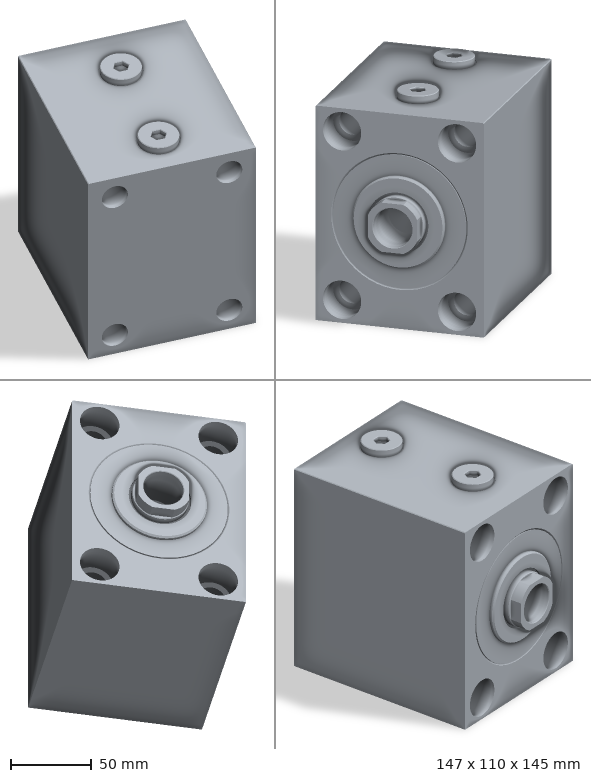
import cadquery as cq
import math


overall_length = 147.0
rod_reach = 14.0
housing_length = overall_length - rod_reach
housing_width = 110.0
housing_height = 140.0
top_edge_chamfer = 0.5

mount_hole_diameter = 17.0
mount_counterbore_diameter = 25.0
mount_counterbore_depth = 20.0
mount_spacing_y = 75.0
mount_spacing_z = 110.0

gland_diameter = 87.0
gland_depth = 30.0
bore_mouth_chamfer = 1.0
boss_diameter = 60.0
boss_height = 3.0
boss_chamfer = 1.0

wiper_recess_diameter = 39.5
wiper_recess_depth = 1.5

rod_diameter = 36.0
rod_shoulder_chamfer = 0.51
rod_end_diameter = rod_diameter - 2 * rod_shoulder_chamfer
rod_end_length = 8.0
rod_across_flats = 32.0
rod_bore_diameter = 25.5
rod_bore_chamfer = 0.5
rod_bore_depth = 30.0
drill_point_angle = 118.0

plug_diameter = 26.0
plug_height = 5.0
plug_chamfer = 0.5
plug_positions_x = (36.0, 107.0)
hex_across_flats = 8.8
hex_chamfer = 0.5
hex_depth = 3.5
spotface_diameter = 28.1
spotface_depth = 0.3

chamfer_angle = 45.0
housing_top = housing_height / 2
spotface_floor = housing_top - spotface_depth


def rod_axis_cylinder(diameter, x_start, length, taper=0):
    """Cylinder on the rod axis, running in +X from x_start and narrowing by the taper angle."""
    return cq.Workplane("YZ", origin=(x_start, 0, 0)).circle(diameter / 2).extrude(length, taper=taper)


def plug_cylinder(diameter, x, z_start, height):
    """Vertical cylinder on the middle line of the top face."""
    return cq.Workplane("XY", origin=(x, 0, z_start)).circle(diameter / 2).extrude(height)


def mount_hole_pattern(diameter, depth):
    """Four cylinders at the mounting hole positions, running back from the front face."""
    return (
        cq.Workplane("YZ")
        .rect(mount_spacing_y, mount_spacing_z, forConstruction=True)
        .vertices()
        .circle(diameter / 2)
        .extrude(depth)
    )


def make_housing():
    block = cq.Workplane("XY").box(housing_length, housing_width, housing_height)
    block = block.translate((housing_length / 2, 0, 0))
    block = block.edges("|X and >Z").chamfer(top_edge_chamfer)

    block = block.cut(mount_hole_pattern(mount_hole_diameter, housing_length))
    block = block.cut(mount_hole_pattern(mount_counterbore_diameter, mount_counterbore_depth))

    gland_bore = rod_axis_cylinder(gland_diameter, 0, gland_depth)
    bore_mouth_diameter = gland_diameter + 2 * bore_mouth_chamfer
    bore_mouth = rod_axis_cylinder(bore_mouth_diameter, 0, bore_mouth_chamfer, taper=chamfer_angle)
    block = block.cut(gland_bore).cut(bore_mouth)

    for x in plug_positions_x:
        block = block.cut(plug_cylinder(spotface_diameter, x, spotface_floor, spotface_depth))
    return block


def make_gland():
    insert = rod_axis_cylinder(gland_diameter, 0, gland_depth)
    boss = rod_axis_cylinder(boss_diameter, -boss_height, boss_height)
    boss = boss.faces("<X").chamfer(boss_chamfer)
    rod_hole = rod_axis_cylinder(rod_diameter, -boss_height, boss_height + gland_depth)
    wiper_recess = rod_axis_cylinder(wiper_recess_diameter, -boss_height, wiper_recess_depth)
    return insert.union(boss).cut(rod_hole).cut(wiper_recess)


def make_rod():
    shoulder_x = rod_end_length - rod_reach
    body = rod_axis_cylinder(rod_diameter, shoulder_x, gland_depth - shoulder_x)
    body = body.faces("<X").chamfer(rod_shoulder_chamfer)

    square = cq.Workplane("YZ", origin=(-rod_reach, 0, 0)).rect(rod_across_flats, rod_across_flats)
    rod_end = rod_axis_cylinder(rod_end_diameter, -rod_reach, rod_end_length)
    rod_end = rod_end.intersect(square.extrude(rod_end_length))

    bore_radius = rod_bore_diameter / 2
    bore_end = rod_bore_depth - rod_reach
    drill_point = bore_end + bore_radius / math.tan(math.radians(drill_point_angle / 2))
    bore = (
        cq.Workplane("XZ")
        .moveTo(-rod_reach, 0)
        .lineTo(-rod_reach, bore_radius + rod_bore_chamfer)
        .lineTo(rod_bore_chamfer - rod_reach, bore_radius)
        .lineTo(bore_end, bore_radius)
        .lineTo(drill_point, 0)
        .close()
        .revolve(360, (0, 0, 0), (1, 0, 0))
    )
    return body.union(rod_end).cut(bore)


def hex_prism(across_flats, x, z_top, depth, taper=0):
    """Hexagonal prism going down from z_top, with two corners on the Y direction."""
    across_corners = across_flats / math.cos(math.pi / 6)
    return (
        cq.Workplane("XY", origin=(x, 0, z_top))
        .transformed(rotate=(0, 0, 90))
        .polygon(6, across_corners)
        .extrude(-depth, taper=taper)
    )


def make_plug(x):
    plug_top = housing_top + plug_height
    hex_socket = hex_prism(hex_across_flats, x, plug_top, hex_depth)
    hex_mouth = hex_prism(hex_across_flats + 2 * hex_chamfer, x, plug_top, hex_chamfer, taper=chamfer_angle)
    plug = plug_cylinder(plug_diameter, x, spotface_floor, plug_top - spotface_floor)
    return plug.faces(">Z").chamfer(plug_chamfer).cut(hex_socket).cut(hex_mouth)


housing = make_housing()
gland = make_gland()
rod = make_rod()
plugs = [make_plug(x) for x in plug_positions_x]

result = cq.Compound.makeCompound(
    [housing.val(), gland.val(), rod.val(), *[plug.val() for plug in plugs]]
)